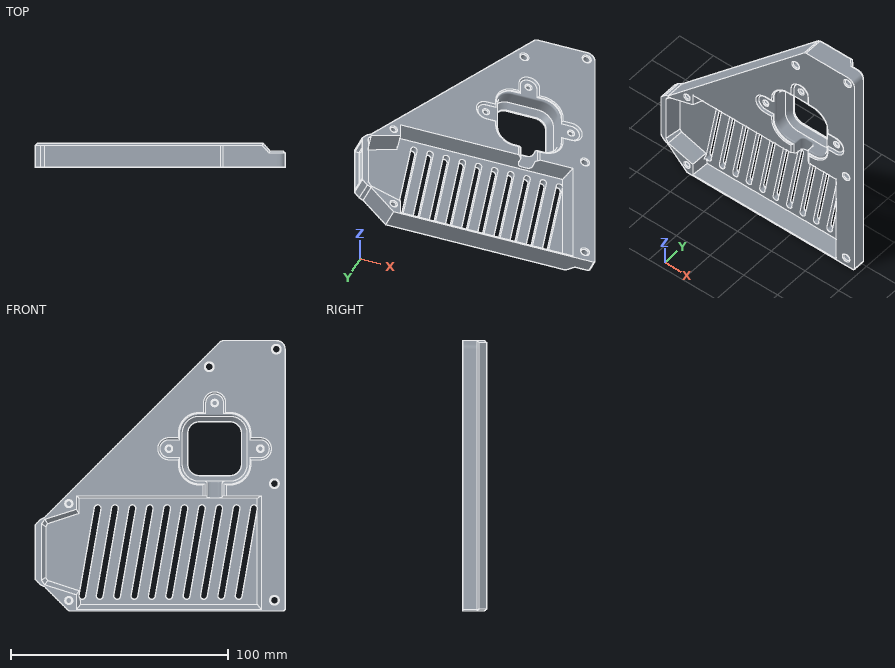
import cadquery as cq
import math

LENGTH_X = 114.8
HEIGHT = 124.2
THICKNESS = 11.0
EDGE = 1.0

NOSE_Z = 27.1
NOSE_HALF = 12.5
NOSE_SLANT = (2.4, 2.5)
NOSE_SHOULDER = (1.9, 0.9)
TOP_BEVEL = (1.0, 0.4)
TOP_RADIUS = 4.0
FOOT_BEVEL = 0.6

STEP_Y = 7.6
STEP_TOP_X = 104.6
STEP_FOOT_X = 107.8

POCKET_DEPTH = 8.0
SLOT_WIDTH = 3.0
SLOT_COUNT = 10
SLOT_PITCH = 7.97
SLOT_TILT = 9.9
SLOT_LENGTH = 40.9
SLOT_FOOT_X = 21.6
SLOT_FOOT_Z = 7.0

PANEL_BOTTOM_Y = 0.7
PANEL_WIDTH = 8.6
PANEL_HEIGHT = 22.7
PANEL_BEVEL = 1.4
PANEL_DEPTH = 2.0

OPENING_X = 82.3
OPENING_Z = 74.5
CORNER_CENTRE = 7.1
LEDGE_HALF = 16.1
LEDGE_CHAMFER = 0.5
WALL_HALF = 14.9
WALL_END_Y = 7.7
BACK_HALF = 12.3
PAD_OFFSET = 21.0
PAD_RADIUS = 5.1
CHANNEL_MOUTH_HALF = 5.3
CHANNEL_HALF = 3.5
CHANNEL_DEPTH = 6.6
CHANNEL_FLOOR_RADIUS = 2.0
CHANNEL_END_Z = 50.9

COUNTERSINK = 0.5
CLEARANCE_DIAMETER = 3.5
CLEARANCE_HOLES = [(110.7, 120.2), (79.9, 112.2), (109.8, 58.5), (109.8, 5.0)]
TAPPED_DIAMETER = 2.7
TAPPED_DEPTH = 7.5
TAPPED_X = 15.4
TAPPED_SPACING = 44.5
PAD_HOLE_DIAMETER = 2.5
PAD_HOLE_DEPTH = 6.2


def front_plane(y):
    """XZ sketch plane at depth y, facing into the part (+Y); its local y runs along -Z."""
    return cq.Plane(origin=(0, y, 0), xDir=(1, 0, 0), normal=(0, 1, 0))


def outline(points, y=0.0):
    """Closed wire through (X, Z) points at depth y."""
    return cq.Workplane(front_plane(y)).polyline([(x, -z) for x, z in points]).close()


def prism(points, y0, y1):
    return outline(points, y0).extrude(y1 - y0)


def mirrored(points):
    """The points reflected about the nose centre line, in reverse order."""
    return [(x, 2 * NOSE_Z - z) for x, z in reversed(points)]


def make_plate():
    slant_end = (NOSE_SLANT[0], NOSE_Z + NOSE_HALF + NOSE_SLANT[1])
    shoulder = (slant_end[0] + NOSE_SHOULDER[0], slant_end[1] + NOSE_SHOULDER[1])
    nose = [(0, NOSE_Z + NOSE_HALF), slant_end, shoulder]
    hypotenuse_run = HEIGHT - TOP_BEVEL[1] - shoulder[1]
    hypotenuse_top = (shoulder[0] + hypotenuse_run, HEIGHT - TOP_BEVEL[1])
    foot_x = shoulder[0] + 2 * NOSE_Z - shoulder[1]
    points = mirrored(nose) + nose + [
        hypotenuse_top,
        (hypotenuse_top[0] + TOP_BEVEL[0], HEIGHT),
        (LENGTH_X, HEIGHT),
        (LENGTH_X, FOOT_BEVEL),
        (LENGTH_X - FOOT_BEVEL, 0),
        (foot_x, 0),
    ]
    plate = prism(points, 0, THICKNESS)
    plate = plate.edges("|Y").edges(">X and >Z").fillet(TOP_RADIUS)

    step = (
        cq.Workplane("XY")
        .polyline([
            (STEP_TOP_X, THICKNESS),
            (STEP_FOOT_X, STEP_Y),
            (LENGTH_X, STEP_Y),
            (LENGTH_X, THICKNESS),
        ])
        .close()
        .extrude(HEIGHT)
    )
    plate = plate.cut(step)

    def on_back_rim(edge):
        centre = edge.Center()
        along_y = abs(edge.tangentAt(0.5).y) > 0.99
        step_crease = abs(centre.z - HEIGHT / 2) < 1.2 and STEP_TOP_X - 1.2 < centre.x < STEP_FOOT_X + 1.2
        return centre.y > STEP_Y - 0.1 and not along_y and not step_crease

    return plate.newObject([e for e in plate.edges().vals() if on_back_rim(e)]).chamfer(EDGE)


def make_pocket():
    """Pocket whose walls slope from a wide mouth on the front to a smaller floor."""
    mouth_nose = [(2.9, 40.0), (4.3, 42.1), (18.9, 46.7)]
    floor_nose = [(4.8, 38.8), (5.7, 40.1), (20.1, 44.8)]
    mouth = mirrored(mouth_nose) + mouth_nose + [(18.9, 52.9), (103.8, 52.9), (103.8, 0.6), (18.9, 0.6)]
    floor = mirrored(floor_nose) + floor_nose + [(20.1, 51.8), (101.8, 51.8), (101.8, 3.1), (20.9, 3.1)]
    wires = [outline(mouth, 0).val(), outline(floor, POCKET_DEPTH).val()]
    return cq.Workplane(cq.Solid.makeLoft(wires, True))


def make_slots():
    tilt = math.radians(SLOT_TILT)
    half_run = SLOT_LENGTH / 2 * math.sin(tilt)
    half_rise = SLOT_LENGTH / 2 * math.cos(tilt)
    centres = [
        (SLOT_FOOT_X + half_run + i * SLOT_PITCH, -(SLOT_FOOT_Z + half_rise)) for i in range(SLOT_COUNT)
    ]
    return (
        cq.Workplane(front_plane(0))
        .pushPoints(centres)
        .slot2D(SLOT_LENGTH + SLOT_WIDTH, SLOT_WIDTH, SLOT_TILT - 90)
        .extrude(THICKNESS)
    )


def make_panel():
    """Blind rectangular recess in the nose end with a bevelled rim."""
    plane = cq.Plane(
        origin=(0, PANEL_BOTTOM_Y + PANEL_WIDTH / 2, NOSE_Z), xDir=(0, 1, 0), normal=(1, 0, 0)
    )
    bevel = cq.Workplane(plane).rect(PANEL_WIDTH, PANEL_HEIGHT).extrude(PANEL_BEVEL, taper=45)
    floor_size = (PANEL_WIDTH - 2 * PANEL_BEVEL, PANEL_HEIGHT - 2 * PANEL_BEVEL)
    return bevel.union(cq.Workplane(plane).rect(*floor_size).extrude(PANEL_DEPTH))


def rounded_square(half, y0, depth, taper=0):
    """Prism around the opening axis; contours of any size share their corner centres."""
    square = cq.Sketch().rect(2 * half, 2 * half).vertices().fillet(half - CORNER_CENTRE)
    plane = cq.Workplane(front_plane(y0)).center(OPENING_X, -OPENING_Z)
    return plane.placeSketch(square).extrude(depth, taper=taper)


def pad(angle, radius, depth, taper=0):
    """Round-ended tongue from the opening axis to a pad centre."""
    sketch = (
        cq.Sketch()
        .push([(PAD_OFFSET / 2, 0)])
        .rect(PAD_OFFSET, 2 * radius)
        .reset()
        .push([(PAD_OFFSET, 0)])
        .circle(radius)
        .clean()
    )
    plane = cq.Workplane(front_plane(0)).center(OPENING_X, -OPENING_Z).transformed(rotate=(0, 0, angle))
    return plane.placeSketch(sketch).extrude(depth, taper=taper)


def channel(half, y0, depth, taper=0):
    """Straight bar from the opening axis down into the pocket."""
    length = OPENING_Z - CHANNEL_END_Z
    plane = cq.Workplane(front_plane(y0)).center(OPENING_X, length / 2 - OPENING_Z)
    return plane.rect(2 * half, length).extrude(depth, taper=taper)


PAD_ANGLES = (0, 180, -90)


def make_opening():
    contour = rounded_square(LEDGE_HALF, 0, THICKNESS)
    contour = contour.union(channel(CHANNEL_MOUTH_HALF - EDGE, 0, THICKNESS))
    chamfers = rounded_square(LEDGE_HALF + LEDGE_CHAMFER, 0, LEDGE_CHAMFER, 45)
    chamfers = chamfers.union(channel(CHANNEL_MOUTH_HALF, 0, EDGE, 45))
    for angle in PAD_ANGLES:
        chamfers = chamfers.union(pad(angle, PAD_RADIUS, EDGE, 45))

    span = 4 * LEDGE_HALF
    slab = cq.Workplane(front_plane(0)).center(OPENING_X, -OPENING_Z).rect(span, span).extrude(EDGE)
    groove = channel(CHANNEL_HALF, 0, CHANNEL_DEPTH)
    groove = groove.faces(">Y").edges("|Z").fillet(CHANNEL_FLOOR_RADIUS)
    shaft = rounded_square(WALL_HALF, 0, WALL_END_Y)
    inner = slab.union(shaft.union(groove))
    wall_z = OPENING_Z - WALL_HALF

    def is_rounded(edge):
        box = edge.BoundingBox()
        at_ledge = abs(box.ymin - EDGE) < 0.001 and abs(box.ymax - EDGE) < 0.001
        inside = edge.Length() < span - 1.2
        at_junction = abs(box.zmin - wall_z) < 0.001 and abs(box.zmax - wall_z) < 0.001
        narrow = box.xmax - OPENING_X < CHANNEL_HALF + 0.1 and box.ymax < WALL_END_Y - 0.1
        return (at_ledge and inside) or (at_junction and narrow and box.ymin > EDGE - 0.1)

    inner = inner.newObject([e for e in inner.edges().vals() if is_rounded(e)]).fillet(EDGE)
    flare_depth = WALL_HALF - BACK_HALF
    back = rounded_square(WALL_HALF, WALL_END_Y, flare_depth, 45)
    back = back.union(rounded_square(BACK_HALF, WALL_END_Y, THICKNESS - WALL_END_Y))
    return inner.intersect(contour).union(chamfers).union(back)


def hole(x, z, y, diameter, depth):
    """Hole entering along +Y at (x, z) from depth y, with a 45 degree countersink."""
    radius = diameter / 2
    rim = radius + COUNTERSINK
    profile = [(0, y), (rim, y), (radius, y + COUNTERSINK), (radius, y + depth), (0, y + depth)]
    drill = cq.Workplane("XY").polyline(profile).close().revolve(360, (0, 0, 0), (0, 1, 0))
    return drill.translate((x, 0, z))


result = make_plate()
result = result.cut(make_pocket()).cut(make_slots()).cut(make_panel()).cut(make_opening())

for x, z in CLEARANCE_HOLES:
    result = result.cut(hole(x, z, 0, CLEARANCE_DIAMETER, THICKNESS))
for side in (-1, 1):
    result = result.cut(hole(TAPPED_X, NOSE_Z + side * TAPPED_SPACING / 2, 0, TAPPED_DIAMETER, TAPPED_DEPTH))
for angle in PAD_ANGLES:
    pad_x = OPENING_X + PAD_OFFSET * math.cos(math.radians(angle))
    pad_z = OPENING_Z - PAD_OFFSET * math.sin(math.radians(angle))
    result = result.cut(hole(pad_x, pad_z, EDGE, PAD_HOLE_DIAMETER, PAD_HOLE_DEPTH))